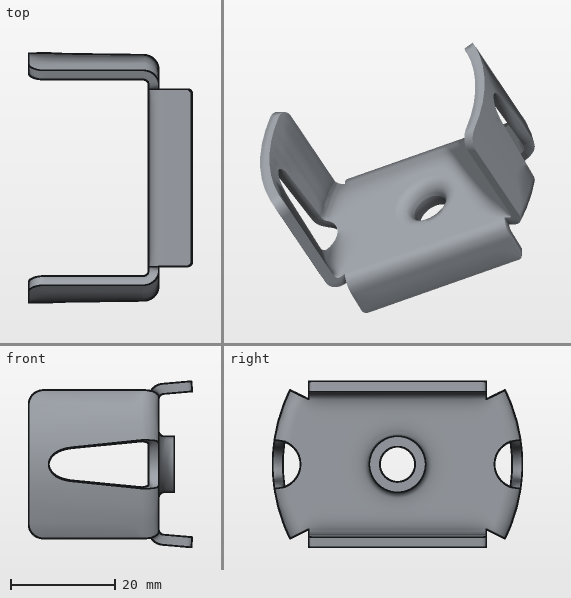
import math
import cadquery as cq


SHEET = 2.0
BEND_INNER = 1.0
BEND_OUTER = BEND_INNER + SHEET

SPAN_Y = 48.0
LENGTH_X = 31.46
WEB_OUTER_X = 25.0
WEB_INNER_X = WEB_OUTER_X - SHEET
ARM_BEND_X = WEB_OUTER_X - BEND_OUTER

WEB_HALF_HEIGHT = 12.5
STRIP_WIDTH = 1.0

ARM_OUTER_R = 32.0
ARM_INNER_R = ARM_OUTER_R - SHEET
ARM_AXIS_Y = SPAN_Y / 2 - ARM_OUTER_R
BEND_START_R = ARM_OUTER_R - BEND_OUTER
WEB_END_R = BEND_START_R - STRIP_WIDTH
ARM_HALF_ANGLE = math.degrees(math.asin(WEB_HALF_HEIGHT / WEB_END_R))
ARM_CORNER_R = 3.0

WEB_CORNER_Y = ARM_AXIS_Y + math.sqrt(WEB_END_R**2 - WEB_HALF_HEIGHT**2)
WEB_CROWN_Y = ARM_AXIS_Y + WEB_END_R

SLOT_TIP_X = 3.9
SLOT_NOSE_LENGTH = 4.6
SLOT_HALF_WIDTH = 4.7
SLOT_TAPER = 6.0
SLOT_INNERMOST_Y = 18.66

FLANGE_TILT = 5.0
FLANGE_CORNER_R = 1.0

COLLAR_END_X = 28.0
COLLAR_OUTER_R = 5.4
COLLAR_ROOT_R = 1.0
COLLAR_MOUTH_R = COLLAR_ROOT_R + SHEET
COLLAR_BEND_R = COLLAR_OUTER_R + COLLAR_ROOT_R
COLLAR_BEND_X = WEB_OUTER_X + COLLAR_ROOT_R
BORE_R = 3.36
LEAD_IN_R = 3.72
LEAD_IN_LENGTH = 0.8

FULL_TURN = 360.0
CUT_MARGIN = 2.0


def arc_point(center_x, center_y, radius, degrees):
    """Point on a circle at an angle counted from the first axis."""
    angle = math.radians(degrees)
    return (center_x + radius * math.cos(angle), center_y + radius * math.sin(angle))


def make_web():
    """Flat web whose rounded ends meet the strips of the arms."""
    return (
        cq.Workplane("YZ", origin=(WEB_INNER_X, 0, 0))
        .moveTo(-WEB_CORNER_Y, -WEB_HALF_HEIGHT)
        .lineTo(WEB_CORNER_Y, -WEB_HALF_HEIGHT)
        .threePointArc((WEB_CROWN_Y, 0), (WEB_CORNER_Y, WEB_HALF_HEIGHT))
        .lineTo(-WEB_CORNER_Y, WEB_HALF_HEIGHT)
        .threePointArc((-WEB_CROWN_Y, 0), (-WEB_CORNER_Y, -WEB_HALF_HEIGHT))
        .close()
        .extrude(SHEET)
    )


def make_arm_slot_through_web():
    """Round slot end in the web, opening along planes through the arm axis."""
    half_angle = math.asin(SLOT_HALF_WIDTH / ARM_OUTER_R)
    end_center_r = (SLOT_INNERMOST_Y - ARM_AXIS_Y) / (1 - math.sin(half_angle))
    end_r = end_center_r * math.sin(half_angle)
    tangent_y = ARM_AXIS_Y + end_center_r * math.cos(half_angle) ** 2
    tangent_z = end_r * math.cos(half_angle)
    far_y = SPAN_Y / 2 + CUT_MARGIN
    far_z = (far_y - ARM_AXIS_Y) * math.tan(half_angle)
    return (
        cq.Workplane("YZ", origin=(ARM_BEND_X, 0, 0))
        .moveTo(far_y, -far_z)
        .lineTo(tangent_y, -tangent_z)
        .threePointArc((SLOT_INNERMOST_Y, 0), (tangent_y, tangent_z))
        .lineTo(far_y, far_z)
        .close()
        .extrude(BEND_OUTER + CUT_MARGIN)
    )


def slot_outline(y):
    """Tapered slot outline in the plane at y; its width grows with distance from the arm axis."""
    scale = (y - ARM_AXIS_Y) / math.sqrt(ARM_OUTER_R**2 - SLOT_HALF_WIDTH**2)
    slope = scale * math.tan(math.radians(SLOT_TAPER))
    nose_end_x = SLOT_TIP_X + SLOT_NOSE_LENGTH
    wide_z = scale * SLOT_HALF_WIDTH
    nose_z = wide_z - slope * (ARM_BEND_X - nose_end_x)
    return (
        cq.Workplane("XZ", origin=(0, y, 0))
        .moveTo(ARM_BEND_X, -wide_z)
        .lineTo(nose_end_x, -nose_z)
        .spline(
            [(SLOT_TIP_X, 0), (nose_end_x, nose_z)],
            tangents=[(-1, slope), (0, 1), (1, slope)],
            includeCurrent=True,
        )
        .lineTo(ARM_BEND_X, wide_z)
        .close()
        .val()
    )


def make_arm_slot():
    """Tapered slot through the arm, its walls pointing at the arm axis."""
    near = slot_outline(SPAN_Y / 2 - SHEET - CUT_MARGIN)
    far = slot_outline(SPAN_Y / 2 + CUT_MARGIN)
    return cq.Workplane(cq.Solid.makeLoft([near, far], True))


def make_arm():
    """Arm on the +Y side with its bend and the strip joining it to the web."""
    bend_y = ARM_AXIS_Y + BEND_START_R
    outer_mid = arc_point(ARM_BEND_X, bend_y, BEND_OUTER, 45)
    inner_mid = arc_point(ARM_BEND_X, bend_y, BEND_INNER, 45)
    profile = (
        cq.Workplane("XY")
        .moveTo(WEB_INNER_X, WEB_CROWN_Y)
        .lineTo(WEB_OUTER_X, WEB_CROWN_Y)
        .lineTo(WEB_OUTER_X, bend_y)
        .threePointArc(outer_mid, (ARM_BEND_X, ARM_AXIS_Y + ARM_OUTER_R))
        .lineTo(0, ARM_AXIS_Y + ARM_OUTER_R)
        .lineTo(0, ARM_AXIS_Y + ARM_INNER_R)
        .lineTo(ARM_BEND_X, ARM_AXIS_Y + ARM_INNER_R)
        .threePointArc(inner_mid, (WEB_INNER_X, bend_y))
        .close()
    )
    axis_start = (0, ARM_AXIS_Y, 0)
    axis_end = (1, ARM_AXIS_Y, 0)
    arm = profile.revolve(2 * ARM_HALF_ANGLE, axis_start, axis_end)
    arm = arm.rotate(axis_start, axis_end, -ARM_HALF_ANGLE)
    free_end = arm.faces("<X")
    corners = free_end.edges("<Z").add(free_end.edges(">Z"))
    return corners.fillet(ARM_CORNER_R)


def make_flange():
    """Flange on the +Z side, bent from the web and tilted outward."""
    tilt = math.radians(FLANGE_TILT)
    center_x = WEB_INNER_X + BEND_OUTER
    center_z = WEB_HALF_HEIGHT
    normal_angle = 90 + FLANGE_TILT
    middle_angle = (180 + normal_angle) / 2
    outer_end = arc_point(center_x, center_z, BEND_OUTER, normal_angle)
    inner_end = arc_point(center_x, center_z, BEND_INNER, normal_angle)
    reach = LENGTH_X - inner_end[0]
    run = (reach, reach * math.tan(tilt))
    flange = (
        cq.Workplane("XZ", origin=(0, WEB_CORNER_Y, 0))
        .moveTo(WEB_INNER_X, center_z)
        .threePointArc(arc_point(center_x, center_z, BEND_OUTER, middle_angle), outer_end)
        .line(*run)
        .lineTo(inner_end[0] + run[0], inner_end[1] + run[1])
        .lineTo(*inner_end)
        .threePointArc(
            arc_point(center_x, center_z, BEND_INNER, middle_angle),
            (WEB_OUTER_X, center_z),
        )
        .close()
        .extrude(2 * WEB_CORNER_Y)
    )
    tip = flange.faces(">X")
    corners = tip.edges("<Y").add(tip.edges(">Y"))
    return corners.fillet(FLANGE_CORNER_R)


def make_collar():
    """Collar wall and root fillet as a solid of revolution about X, still without its bore."""
    root_mid = arc_point(COLLAR_BEND_X, COLLAR_BEND_R, COLLAR_ROOT_R, 225)
    return (
        cq.Workplane("XY")
        .moveTo(WEB_INNER_X, 0)
        .lineTo(WEB_INNER_X, COLLAR_BEND_R)
        .lineTo(WEB_OUTER_X, COLLAR_BEND_R)
        .threePointArc(root_mid, (COLLAR_BEND_X, COLLAR_OUTER_R))
        .lineTo(COLLAR_END_X, COLLAR_OUTER_R)
        .lineTo(COLLAR_END_X, 0)
        .close()
        .revolve(FULL_TURN, (0, 0, 0), (1, 0, 0))
    )


def make_collar_bore():
    """Rounded mouth, conical lead-in and bore of the collar."""
    lead_in_angle = 180 + math.degrees(math.asin((COLLAR_BEND_R - LEAD_IN_R) / COLLAR_MOUTH_R))
    lead_in = arc_point(COLLAR_BEND_X, COLLAR_BEND_R, COLLAR_MOUTH_R, lead_in_angle)
    mouth_mid = arc_point(
        COLLAR_BEND_X, COLLAR_BEND_R, COLLAR_MOUTH_R, (180 + lead_in_angle) / 2
    )
    return (
        cq.Workplane("XY")
        .moveTo(WEB_INNER_X, 0)
        .lineTo(WEB_INNER_X, COLLAR_BEND_R)
        .threePointArc(mouth_mid, lead_in)
        .lineTo(lead_in[0] + LEAD_IN_LENGTH, BORE_R)
        .lineTo(COLLAR_END_X, BORE_R)
        .lineTo(COLLAR_END_X, 0)
        .close()
        .revolve(FULL_TURN, (0, 0, 0), (1, 0, 0))
    )


def both_sides(body, plane):
    """The body and its mirror image in the given plane through the origin."""
    return body, body.mirror(plane)


result = make_web().union(make_collar()).cut(make_collar_bore())
for arm in both_sides(make_arm(), "XZ"):
    result = result.union(arm)
for flange in both_sides(make_flange(), "XY"):
    result = result.union(flange)
for cutter in (make_arm_slot(), make_arm_slot_through_web()):
    for slot in both_sides(cutter, "XZ"):
        result = result.cut(slot)